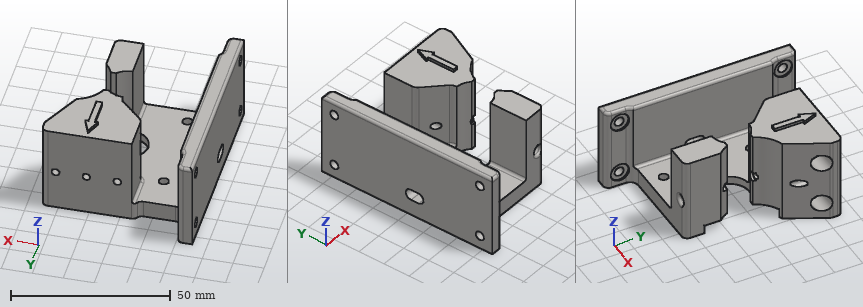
import cadquery as cq
import math

plate_length = 68.0
plate_height = 30.0
plate_edge_thickness = 5.0
plate_thickness = 6.0
plate_corner_radius = 2.0
plate_top_radius = 1.0
plate_screw_diameter = 3.2
plate_head_diameter = 6.4
plate_head_floor = 4.5
plate_screw_y = 29.0
plate_screw_levels = (5.0, 25.0)

base_half_width = 24.0
base_thickness = 6.0
base_plate_radius = 3.0
bay_floor_radius = 1.0

jaw_inner_x = 30.0
big_jaw_end_y = 26.0
big_jaw_inner_x = 21.5
big_jaw_outer_x = 50.74
big_jaw_shoulder_x = 20.0
big_jaw_slant_y = 13.66
big_jaw_bend_radius = 3.0
outer_slant_top_y = 21.9
outer_slant_slope = 2.0
small_jaw_outer_x = 39.0
jaw_corner_radius = 2.0

bore_x = 30.0
bore_y = -3.0
bore_diameter = 13.2
mouth_width = 9.0
mouth_round_x = 47.3
mouth_round_radius = 11.6
recess_radius = 16.5
recess_depth = 3.0

base_hole_pitch = 31.0
base_hole_diameter = 3.2
slot_length = 7.0
slot_height = 4.0
cross_hole_level = 14.0
cross_hole_pitch = 10.0
cross_hole_diameter = 2.5
clamp_x = 36.2
clamp_thread_diameter = 2.4
clamp_clearance_diameter = 3.2
clamp_clearance_end_y = 2.5
clamp_mouth_radius = 1.0
side_bore_diameter = 6.2
side_bore_y = 19.25
side_bore_levels = (6.0, 22.0)
side_bore_depth = 8.0

arrow_height = 1.0
arrow_tip_y = 24.0
arrow_length = 15.0
arrow_head_length = 5.0
arrow_head_width = 4.1
arrow_shaft_width = 2.0

margin = 5.0
edge_reach = 0.01


def cylinder(start, direction, diameter, length):
    solid = cq.Solid.makeCylinder(diameter / 2, length, cq.Vector(*start), cq.Vector(*direction))
    return cq.Workplane(solid)


def vertical_at(x, y):
    """Selector for the vertical edge standing at (x, y)."""
    return cq.selectors.BoxSelector(
        (x - edge_reach, y - edge_reach, -margin),
        (x + edge_reach, y + edge_reach, 2 * plate_height),
    )


def make_block():
    """Full-height plan outline: plate, base and both jaws as one prism."""
    half = plate_length / 2
    arc_mid = 1 - math.sqrt(0.5)
    joint = base_plate_radius
    joint_x = plate_edge_thickness + joint
    joint_mid_x = plate_edge_thickness + joint * arc_mid
    joint_mid_y = base_half_width + joint * arc_mid
    step = big_jaw_end_y - base_half_width
    step_half_angle = math.acos(1 - step / (2 * jaw_corner_radius)) / 2
    step_run = jaw_corner_radius * math.sin(2 * step_half_angle)
    step_mid_run = jaw_corner_radius * math.sin(step_half_angle)
    step_mid_rise = jaw_corner_radius * (1 - math.cos(step_half_angle))
    step_start_x = big_jaw_shoulder_x - step_run
    step_end_x = big_jaw_shoulder_x + step_run
    slant_end_y = outer_slant_top_y - outer_slant_slope * (big_jaw_outer_x - small_jaw_outer_x)

    block = (
        cq.Workplane("XY")
        .moveTo(0, -half)
        .lineTo(plate_edge_thickness, -half)
        .lineTo(plate_edge_thickness, -base_half_width - joint)
        .threePointArc((joint_mid_x, -joint_mid_y), (joint_x, -base_half_width))
        .lineTo(small_jaw_outer_x, -base_half_width)
        .lineTo(small_jaw_outer_x, slant_end_y)
        .lineTo(big_jaw_outer_x, outer_slant_top_y)
        .lineTo(big_jaw_outer_x, big_jaw_end_y)
        .lineTo(step_end_x, big_jaw_end_y)
        .threePointArc(
            (step_end_x - step_mid_run, big_jaw_end_y - step_mid_rise),
            (big_jaw_shoulder_x, base_half_width + step / 2),
        )
        .threePointArc(
            (step_start_x + step_mid_run, base_half_width + step_mid_rise),
            (step_start_x, base_half_width),
        )
        .lineTo(joint_x, base_half_width)
        .threePointArc((joint_mid_x, joint_mid_y), (plate_edge_thickness, base_half_width + joint))
        .lineTo(plate_edge_thickness, half)
        .lineTo(0, half)
        .close()
        .extrude(plate_height)
    )
    jaw_corners = [
        (small_jaw_outer_x, -base_half_width),
        (big_jaw_outer_x, outer_slant_top_y),
        (big_jaw_outer_x, big_jaw_end_y),
    ]
    for x, y in jaw_corners:
        block = block.edges(vertical_at(x, y)).fillet(jaw_corner_radius)
    for y in (-half, half):
        block = block.edges(vertical_at(plate_edge_thickness, y)).fillet(plate_corner_radius)
    return block


def make_bay():
    """Space between the plate and the jaws, rounded where it meets the floor."""
    reach = plate_length / 2
    slant_end_y = big_jaw_slant_y - (jaw_inner_x - big_jaw_inner_x)
    bay = (
        cq.Workplane("XY", origin=(0, 0, base_thickness))
        .moveTo(plate_thickness, -reach)
        .lineTo(jaw_inner_x, -reach)
        .lineTo(jaw_inner_x, slant_end_y)
        .lineTo(big_jaw_inner_x, big_jaw_slant_y)
        .lineTo(big_jaw_inner_x, reach)
        .lineTo(plate_thickness, reach)
        .close()
        .extrude(plate_height)
    )
    for x, y in ((jaw_inner_x, slant_end_y), (big_jaw_inner_x, big_jaw_slant_y)):
        bay = bay.edges(vertical_at(x, y)).fillet(big_jaw_bend_radius)
    return bay.faces("<Z").edges().fillet(bay_floor_radius)


def round_plate_top(body):
    """Round every top edge of the mounting plate."""
    top_edges = cq.selectors.BoxSelector(
        (-edge_reach, -plate_length, plate_height - edge_reach),
        (plate_thickness + edge_reach, plate_length, plate_height + edge_reach),
    )
    return body.edges(top_edges).fillet(plate_top_radius)


def cut_bore(body):
    """Vertical bore, its mouth toward +X with a round lead-in, and the recess below."""
    cut_height = plate_height + 2 * margin
    mouth_length = mouth_round_x - bore_x
    bore = cylinder((bore_x, bore_y, -margin), (0, 0, 1), bore_diameter, cut_height)
    mouth_round = cylinder((mouth_round_x, bore_y, -margin), (0, 0, 1), 2 * mouth_round_radius, cut_height)
    mouth = (
        cq.Workplane("XY", origin=(bore_x + mouth_length / 2, bore_y, -margin))
        .rect(mouth_length, mouth_width)
        .extrude(cut_height)
    )
    recess = cylinder((bore_x, bore_y, 0), (0, 0, 1), 2 * recess_radius, recess_depth)
    return body.cut(bore).cut(mouth).cut(mouth_round).cut(recess)


def cut_plate_holes(body):
    """Four screw holes with head recesses, and the slot level with the base floor."""
    for y in (-plate_screw_y, plate_screw_y):
        for z in plate_screw_levels:
            body = body.cut(cylinder((-margin, y, z), (1, 0, 0), plate_screw_diameter, 2 * margin))
            body = body.cut(cylinder((plate_head_floor, y, z), (1, 0, 0), plate_head_diameter, margin))
    slot = (
        cq.Workplane("YZ", origin=(0, bore_y, base_thickness + slot_height / 2))
        .slot2D(slot_length, slot_height)
        .extrude(plate_thickness + bay_floor_radius)
    )
    return body.cut(slot)


def cut_base_holes(body):
    """Two holes on the base side of a square pattern centred on the bore."""
    x = bore_x - base_hole_pitch / 2
    for side in (-1, 1):
        y = bore_y + side * base_hole_pitch / 2
        body = body.cut(cylinder((x, y, -margin), (0, 0, 1), base_hole_diameter, base_thickness + margin))
    return body


def cut_cross_holes(body):
    """Holes along Y through the large jaw; the middle one takes the clamp screw."""
    to_far_side = big_jaw_end_y + margin - bore_y
    cross_holes = [
        (clamp_x - cross_hole_pitch, cross_hole_diameter),
        (clamp_x, clamp_thread_diameter),
        (clamp_x + cross_hole_pitch, cross_hole_diameter),
    ]
    for x, diameter in cross_holes:
        body = body.cut(cylinder((x, bore_y, cross_hole_level), (0, 1, 0), diameter, to_far_side))

    clearance_length = base_half_width + clamp_clearance_end_y
    hole_radius = clamp_clearance_diameter / 2
    mouth_radius = hole_radius + clamp_mouth_radius
    diagonal = clamp_mouth_radius * (1 - math.sqrt(0.5))
    clearance = (
        cq.Workplane("XY", origin=(clamp_x, -base_half_width, cross_hole_level))
        .moveTo(0, 0)
        .lineTo(mouth_radius, 0)
        .threePointArc((hole_radius + diagonal, diagonal), (hole_radius, clamp_mouth_radius))
        .lineTo(hole_radius, clearance_length)
        .lineTo(0, clearance_length)
        .close()
        .revolve(360, (0, 0, 0), (0, 1, 0))
    )
    return body.cut(clearance)


def cut_side_bores(body):
    """Blind bores along X in the outer face of the large jaw."""
    for z in side_bore_levels:
        start = (big_jaw_outer_x, side_bore_y, z)
        body = body.cut(cylinder(start, (-1, 0, 0), side_bore_diameter, side_bore_depth))
    return body


def make_arrow():
    """Raised arrow pointing toward +Y."""
    shaft = arrow_shaft_width / 2
    head = arrow_head_width / 2
    return (
        cq.Workplane("XY", origin=(clamp_x, arrow_tip_y, plate_height))
        .polyline([
            (0, 0),
            (head, -arrow_head_length),
            (shaft, -arrow_head_length),
            (shaft, -arrow_length),
            (-shaft, -arrow_length),
            (-shaft, -arrow_head_length),
            (-head, -arrow_head_length),
        ])
        .close()
        .extrude(arrow_height)
    )


body = make_block().cut(make_bay())
body = round_plate_top(body)
body = cut_bore(body)
body = cut_plate_holes(body)
body = cut_base_holes(body)
body = cut_cross_holes(body)
body = cut_side_bores(body)
result = body.union(make_arrow())